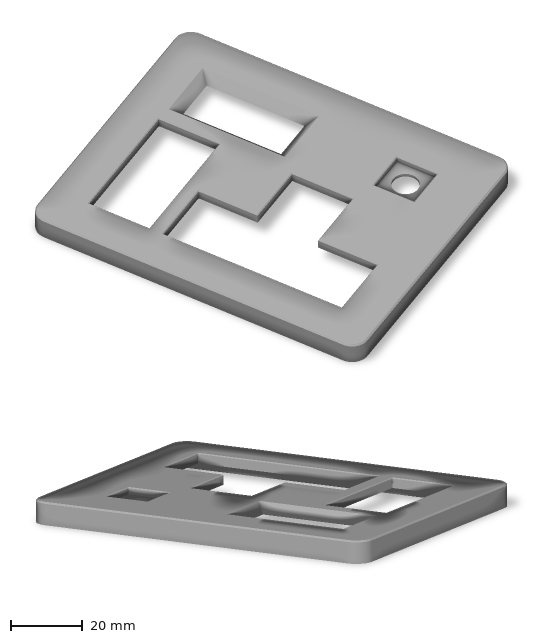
import cadquery as cq

plate_length = 106.4
plate_width = 86.0
plate_height = 6.6
corner_radius = 5.0
edge_break = 0.48

top_thickness = 3.0
rim_width = corner_radius
cavity_length = plate_length - 2 * rim_width
cavity_width = plate_width - 2 * rim_width
cavity_depth = plate_height - top_thickness

key_cell = 19.5
key_pitch = 19.0
two_key_depth = key_cell + key_pitch
three_key_length = key_cell + 2 * key_pitch
key_bottom_y = -30.6
arrow_center_x = 11.8
pair_center_x = -31.2

pocket_length = 13.0
pocket_width = 12.7
pocket_depth = 2.0
pocket_hole_diameter = 8.0
pocket_center_x = 30.4

window_length = 37.4
window_width = 18.8
window_center_x = -21.7
window_slope_run = top_thickness

upper_row_y = 21.9

mouth_break = 0.3


def make_shell():
    """Rounded plate with a broken top edge and a hollow underside."""
    plate = cq.Workplane("XY").rect(plate_length, plate_width).extrude(plate_height)
    plate = plate.edges("|Z").fillet(corner_radius)
    plate = plate.faces(">Z").edges().chamfer(edge_break)
    cavity = cq.Workplane("XY").rect(cavity_length, cavity_width).extrude(cavity_depth)
    return plate.cut(cavity)


def key_block(length, depth, center_x):
    """Straight cutter for a block of keys standing on the common bottom line."""
    outline = cq.Workplane("XY").center(center_x, key_bottom_y + depth / 2).rect(length, depth)
    return outline.extrude(plate_height)


def make_key_openings():
    """Two stacked keys on the left and an inverted T of arrow keys on the right."""
    pair = key_block(key_cell, two_key_depth, pair_center_x)
    arrow_row = key_block(three_key_length, key_cell, arrow_center_x)
    arrow_stem = key_block(key_cell, two_key_depth, arrow_center_x)
    return pair.union(arrow_row).union(arrow_stem)


def make_pocket():
    """Pocket cutter together with the hole through its floor."""
    floor_z = plate_height - pocket_depth
    recess = (
        cq.Workplane("XY", origin=(pocket_center_x, upper_row_y, floor_z))
        .rect(pocket_length, pocket_width)
        .extrude(pocket_depth)
    )
    hole = (
        cq.Workplane("XY", origin=(pocket_center_x, upper_row_y, 0))
        .circle(pocket_hole_diameter / 2)
        .extrude(plate_height)
    )
    return recess.union(hole)


def make_window():
    """Funnel-shaped cutter that narrows towards the underside of the top."""
    return (
        cq.Workplane("XY", origin=(window_center_x, upper_row_y, cavity_depth))
        .rect(window_length - 2 * window_slope_run, window_width - 2 * window_slope_run)
        .workplane(offset=top_thickness)
        .rect(window_length, window_width)
        .loft(ruled=True)
    )


def break_mouths(plate):
    """Chamfer every top-face edge that lies inside the rim."""
    inside_rim = cq.selectors.BoxSelector(
        (-cavity_length / 2, -cavity_width / 2, 0),
        (cavity_length / 2, cavity_width / 2, 2 * plate_height),
    )
    return plate.faces(">Z").edges(inside_rim).chamfer(mouth_break)


result = break_mouths(make_shell().cut(make_key_openings()).cut(make_pocket())).cut(make_window())